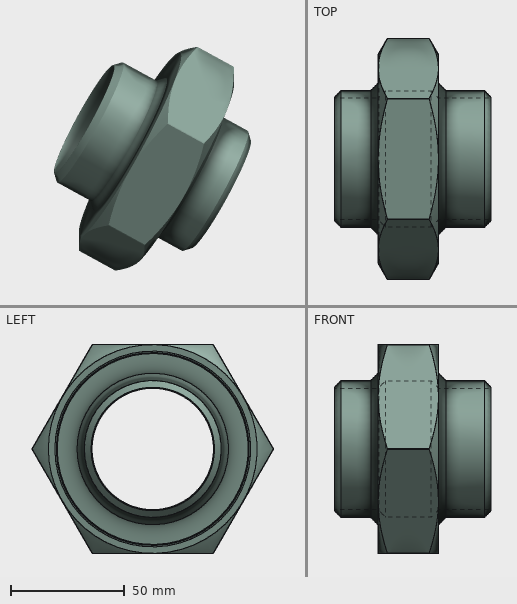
import cadquery as cq
import math

ACROSS_FLATS = 92.1
ACROSS_CORNERS = 106.1
NUT_WIDTH = 26.6
NUT_BEVEL_RADIUS = 45.9
NUT_BEVEL_ANGLE = 30.0

TUBE_RADIUS = 30.1
BORE_RADIUS = 26.7
LEFT_TUBE_LENGTH = 19.2
RIGHT_TUBE_LENGTH = 23.1
WELD_BEVEL = 3.0
ROOT_CONE = 3.2

CHAMBER_RADIUS = 30.0
SEAM_INNER_RADIUS = 42.4
SEAM_OUTER_RADIUS = 43.1
SEAM_DEPTH = 0.4

nut_left = -NUT_WIDTH / 2
nut_right = NUT_WIDTH / 2
left_end = nut_left - LEFT_TUBE_LENGTH
right_end = nut_right + RIGHT_TUBE_LENGTH


def revolve_profile(points):
    """Turn a closed (x, radius) outline about the X axis."""
    return cq.Workplane("XY").polyline(points).close().revolve(360, (0, 0, 0), (1, 0, 0))


def hexagon_nut():
    """Hexagon with two flats level, its corners bevelled on both faces."""
    sharp_corners = ACROSS_FLATS / math.cos(math.radians(30))
    hexagon = cq.Workplane("YZ").workplane(offset=nut_left).polygon(6, sharp_corners).extrude(NUT_WIDTH)
    corner_radius = ACROSS_CORNERS / 2
    bevel_width = (corner_radius - NUT_BEVEL_RADIUS) * math.tan(math.radians(NUT_BEVEL_ANGLE))
    envelope = revolve_profile([
        (nut_left, 0),
        (nut_left, NUT_BEVEL_RADIUS),
        (nut_left + bevel_width, corner_radius),
        (nut_right - bevel_width, corner_radius),
        (nut_right, NUT_BEVEL_RADIUS),
        (nut_right, 0),
    ])
    return hexagon.intersect(envelope)


def tubes():
    """Both weld ends, each with a bevelled tip and a cone at its root."""
    tip_radius = TUBE_RADIUS - WELD_BEVEL
    root_radius = TUBE_RADIUS + ROOT_CONE
    return revolve_profile([
        (left_end, 0),
        (left_end, tip_radius),
        (left_end + WELD_BEVEL, TUBE_RADIUS),
        (nut_left - ROOT_CONE, TUBE_RADIUS),
        (nut_left, root_radius),
        (nut_right, root_radius),
        (nut_right + ROOT_CONE, TUBE_RADIUS),
        (right_end - WELD_BEVEL, TUBE_RADIUS),
        (right_end, tip_radius),
        (right_end, 0),
    ])


def bore():
    """Through bore, widened inside the nut between two 45 degree cones."""
    chamber_step = CHAMBER_RADIUS - BORE_RADIUS
    return revolve_profile([
        (left_end, 0),
        (left_end, BORE_RADIUS),
        (nut_left, BORE_RADIUS),
        (nut_left + chamber_step, CHAMBER_RADIUS),
        (nut_right - chamber_step, CHAMBER_RADIUS),
        (nut_right, BORE_RADIUS),
        (right_end, BORE_RADIUS),
        (right_end, 0),
    ])


def collar_seam():
    """Shallow ring groove in the left nut face with a 45 degree inner wall."""
    return revolve_profile([
        (nut_left, SEAM_INNER_RADIUS - SEAM_DEPTH),
        (nut_left, SEAM_OUTER_RADIUS),
        (nut_left + SEAM_DEPTH, SEAM_OUTER_RADIUS),
        (nut_left + SEAM_DEPTH, SEAM_INNER_RADIUS),
    ])


result = hexagon_nut().union(tubes()).cut(bore()).cut(collar_seam())